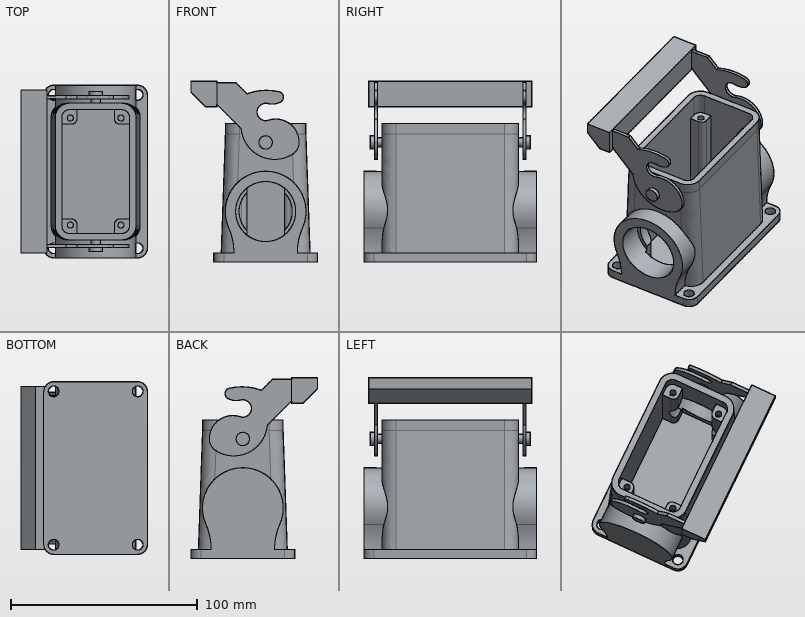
import cadquery as cq
import math

FLANGE_LENGTH_X = 55.6
FLANGE_LENGTH_Y = 92.5
FLANGE_HEIGHT = 4.9
FLANGE_CORNER_RADIUS = 5.4
MOUNTING_HOLE_X = 22.5
MOUNTING_HOLE_Y = 41.0
MOUNTING_HOLE_RADIUS = 2.8

BODY_TOP_Z = 74.2
RIM_HEIGHT = 5.6
RIM_BASE_Z = BODY_TOP_Z - RIM_HEIGHT
BODY_TOP_X = 43.2
BODY_BOTTOM_X = 47.6
BODY_Y = 73.2
BODY_CORNER_RADIUS = 7.55
WALL = 3.5
CAVITY_X = BODY_TOP_X - 2 * WALL
CAVITY_Y = BODY_Y - 2 * WALL
CAVITY_FLOOR_Z = FLANGE_HEIGHT

POST_INNER_X = 10.0
POST_INNER_Y = 25.4
POST_CORNER_RADIUS = 3.0
POST_TOP_Z = 62.2
SCREW_HOLE_X = 13.6
SCREW_HOLE_Y = 28.7
SCREW_HOLE_RADIUS = 1.6
SCREW_HOLE_DEPTH = 11.6

BOSS_RADIUS = 21.6
BOSS_FOOT_HALF_WIDTH = 16.9
CABLE_AXIS_Z = 27.0
CABLE_HOLE_RADIUS = 16.1
CABLE_INNER_RADIUS = 14.2
CABLE_SHOULDER_Y = 31.5

BAR_LEFT_X = -40.0
BAR_RIGHT_X = -26.0
BAR_TOP_Z = 96.8
BAR_BOTTOM_Z = 83.1
BAR_CHAMFER = 7.7
BAR_LENGTH_Y = 87.3

PLATE_INNER_Y = 38.9
PLATE_THICKNESS = 1.7
PLATE_OUTER_Y = PLATE_INNER_Y + PLATE_THICKNESS
ARM_TOP_Z = 95.9

PIN_Z = 64.0
PIN_RADIUS = 2.5
PIN_HEAD_RADIUS = 3.6
PIN_HEAD_HEIGHT = 2.2

CAM_CENTER, CAM_RADIUS = (4.8, 72.9), 18.0
NOSE_CENTER, NOSE_RADIUS = (10.3, 64.1), 7.6
LOBE_CENTER, LOBE_RADIUS = (5.4, 64.1), 12.5
SLOT_CENTER, SLOT_RADIUS = (0.0, 80.3), 4.55
HOOK_INNER_CENTER, HOOK_INNER_RADIUS = (3.1, 93.9), 9.7
HOOK_TIP_CENTER, HOOK_TIP_RADIUS = (6.5, 88.2), 3.1
HOOK_OUTER_CENTER, HOOK_OUTER_RADIUS = (0.4, 62.9), 29.0
HOOK_ROOT_X = -10.0
NECK_ANGLE = 185.0


def rounded_section(width, length, corner_radius):
    return cq.Sketch().rect(width, length).vertices().fillet(corner_radius)


def make_shell():
    """Outer block that narrows in X up to the rim base and runs straight from there to the top."""
    bottom_section = rounded_section(BODY_BOTTOM_X, BODY_Y, BODY_CORNER_RADIUS)
    top_section = rounded_section(BODY_TOP_X, BODY_Y, BODY_CORNER_RADIUS)
    taper_rise = cq.Location(cq.Vector(0, 0, RIM_BASE_Z - FLANGE_HEIGHT))
    base = cq.Workplane("XY", origin=(0, 0, FLANGE_HEIGHT))
    tapered = base.placeSketch(bottom_section, top_section.moved(taper_rise)).loft(ruled=True)
    rim = cq.Workplane("XY", origin=(0, 0, RIM_BASE_Z)).placeSketch(top_section).extrude(RIM_HEIGHT)
    return tapered.union(rim)


def make_cavity():
    """Straight-walled pocket from the top down to the floor, leaving the screw posts standing."""
    section = rounded_section(CAVITY_X, CAVITY_Y, BODY_CORNER_RADIUS - WALL)
    floor = cq.Workplane("XY", origin=(0, 0, CAVITY_FLOOR_Z))
    return floor.placeSketch(section).extrude(BODY_TOP_Z - CAVITY_FLOOR_Z).cut(make_posts())


def make_flange():
    return (
        cq.Workplane("XY")
        .rect(FLANGE_LENGTH_X, FLANGE_LENGTH_Y)
        .extrude(FLANGE_HEIGHT)
        .edges("|Z")
        .fillet(FLANGE_CORNER_RADIUS)
        .faces(">Z")
        .workplane(origin=(0, 0, 0))
        .rect(2 * MOUNTING_HOLE_X, 2 * MOUNTING_HOLE_Y, forConstruction=True)
        .vertices()
        .hole(2 * MOUNTING_HOLE_RADIUS)
    )


def make_bosses():
    """Cable bosses as one bar along Y: a cylinder whose sides sweep tangentially into a narrower foot."""
    rise = CABLE_AXIS_Z - FLANGE_HEIGHT
    foot = BOSS_FOOT_HALF_WIDTH
    sweep_radius = (foot**2 + rise**2 - BOSS_RADIUS**2) / (2 * (BOSS_RADIUS - foot))
    reach = BOSS_RADIUS / (BOSS_RADIUS + sweep_radius)
    tangent_x = (foot + sweep_radius) * reach
    tangent_z = CABLE_AXIS_Z - rise * reach
    return (
        cq.Workplane("XZ", origin=(0, FLANGE_LENGTH_Y / 2, 0))
        .moveTo(-foot, 0)
        .lineTo(foot, 0)
        .lineTo(foot, FLANGE_HEIGHT)
        .radiusArc((tangent_x, tangent_z), sweep_radius)
        .threePointArc((0, CABLE_AXIS_Z + BOSS_RADIUS), (-tangent_x, tangent_z))
        .radiusArc((-foot, FLANGE_HEIGHT), sweep_radius)
        .close()
        .extrude(FLANGE_LENGTH_Y)
    )


def make_posts():
    """Four screw posts, one in each corner of the cavity, running out into the walls."""
    post_x = BODY_BOTTOM_X / 2 - POST_INNER_X
    post_y = BODY_Y / 2 - POST_INNER_Y
    return (
        cq.Workplane("XY")
        .rect(2 * POST_INNER_X + post_x, 2 * POST_INNER_Y + post_y, forConstruction=True)
        .vertices()
        .rect(post_x, post_y)
        .extrude(POST_TOP_Z)
        .edges("|Z")
        .fillet(POST_CORNER_RADIUS)
    )


def make_screw_holes():
    return (
        cq.Workplane("XY", origin=(0, 0, POST_TOP_Z))
        .rect(2 * SCREW_HOLE_X, 2 * SCREW_HOLE_Y, forConstruction=True)
        .vertices()
        .circle(SCREW_HOLE_RADIUS)
        .extrude(-SCREW_HOLE_DEPTH)
    )


def make_cable_entry():
    """Stepped bore through the -Y boss only, wide outside and narrower through the posts."""
    outer_depth = FLANGE_LENGTH_Y / 2 - CABLE_SHOULDER_Y
    inner_depth = CABLE_SHOULDER_Y - POST_INNER_Y
    outer_face = cq.Workplane("XZ", origin=(0, -FLANGE_LENGTH_Y / 2, CABLE_AXIS_Z))
    shoulder = cq.Workplane("XZ", origin=(0, -CABLE_SHOULDER_Y, CABLE_AXIS_Z))
    wide_bore = outer_face.circle(CABLE_HOLE_RADIUS).extrude(-outer_depth)
    return wide_bore.union(shoulder.circle(CABLE_INNER_RADIUS).extrude(-inner_depth))


def make_housing():
    solid = make_flange().union(make_shell()).union(make_bosses())
    return solid.cut(make_cavity()).cut(make_screw_holes()).cut(make_cable_entry())


def point_toward(center, radius, target):
    """Point of a circle in the direction of a target point."""
    dx = target[0] - center[0]
    dz = target[1] - center[1]
    distance = math.hypot(dx, dz)
    return (center[0] + radius * dx / distance, center[1] + radius * dz / distance)


def make_plate(outer_y):
    """Side plate of the lever, reaching from outer_y toward +Y by its thickness."""
    hook_rise = math.sqrt(HOOK_OUTER_RADIUS**2 - (HOOK_ROOT_X - HOOK_OUTER_CENTER[0]) ** 2)
    hook_root = (HOOK_ROOT_X, HOOK_OUTER_CENTER[1] + hook_rise)
    arm_top_x = HOOK_ROOT_X - (ARM_TOP_Z - hook_root[1])

    neck_angle = math.radians(NECK_ANGLE)
    neck_x = CAM_CENTER[0] + CAM_RADIUS * math.cos(neck_angle)
    neck_z = CAM_CENTER[1] + CAM_RADIUS * math.sin(neck_angle)
    arm_bottom_z = neck_z + (neck_x - BAR_RIGHT_X)

    cam_to_nose = point_toward(CAM_CENTER, CAM_RADIUS, NOSE_CENTER)
    nose_to_lobe = (LOBE_CENTER[0] + LOBE_RADIUS, LOBE_CENTER[1])
    lobe_to_slot = point_toward(LOBE_CENTER, LOBE_RADIUS, SLOT_CENTER)
    slot_left = (SLOT_CENTER[0] - SLOT_RADIUS, SLOT_CENTER[1])
    slot_to_hook = point_toward(SLOT_CENTER, SLOT_RADIUS, HOOK_INNER_CENTER)
    hook_to_tip = point_toward(HOOK_INNER_CENTER, HOOK_INNER_RADIUS, HOOK_TIP_CENTER)
    tip_right = (HOOK_TIP_CENTER[0] + HOOK_TIP_RADIUS, HOOK_TIP_CENTER[1])
    tip_to_outer = point_toward(HOOK_OUTER_CENTER, HOOK_OUTER_RADIUS, HOOK_TIP_CENTER)

    return (
        cq.Workplane("XZ", origin=(0, outer_y, 0))
        .moveTo(BAR_RIGHT_X, ARM_TOP_Z)
        .lineTo(BAR_RIGHT_X, arm_bottom_z)
        .lineTo(neck_x, neck_z)
        .radiusArc(cam_to_nose, -CAM_RADIUS)
        .radiusArc(nose_to_lobe, -NOSE_RADIUS)
        .radiusArc(lobe_to_slot, -LOBE_RADIUS)
        .threePointArc(slot_left, slot_to_hook)
        .radiusArc(hook_to_tip, -HOOK_INNER_RADIUS)
        .threePointArc(tip_right, tip_to_outer)
        .radiusArc(hook_root, -HOOK_OUTER_RADIUS)
        .lineTo(arm_top_x, ARM_TOP_Z)
        .close()
        .extrude(-PLATE_THICKNESS)
    )


def make_bar():
    return (
        cq.Workplane("XZ", origin=(0, BAR_LENGTH_Y / 2, 0))
        .moveTo(BAR_LEFT_X, BAR_TOP_Z)
        .lineTo(BAR_LEFT_X, BAR_BOTTOM_Z + BAR_CHAMFER)
        .lineTo(BAR_LEFT_X + BAR_CHAMFER, BAR_BOTTOM_Z)
        .lineTo(BAR_RIGHT_X, BAR_BOTTOM_Z)
        .lineTo(BAR_RIGHT_X, BAR_TOP_Z)
        .close()
        .extrude(BAR_LENGTH_Y)
    )


def make_pivot_pin(side):
    """Headed pin from the housing wall through the plate, on the side of the given sign of Y."""
    wall_y = BODY_Y / 2
    shank_plane = cq.Workplane("XZ", origin=(0, side * wall_y, PIN_Z))
    head_plane = cq.Workplane("XZ", origin=(0, side * PLATE_OUTER_Y, PIN_Z))
    shank = shank_plane.circle(PIN_RADIUS).extrude(-side * (PLATE_OUTER_Y - wall_y))
    head = head_plane.circle(PIN_HEAD_RADIUS).extrude(-side * PIN_HEAD_HEIGHT)
    return shank.union(head)


def make_lever():
    lever = make_bar()
    for side, plate_start_y in ((-1, -PLATE_OUTER_Y), (1, PLATE_INNER_Y)):
        lever = lever.union(make_plate(plate_start_y)).union(make_pivot_pin(side))
    return lever


housing = make_housing()
lever = make_lever()

result = cq.Compound.makeCompound([housing.solids().val(), lever.solids().val()])